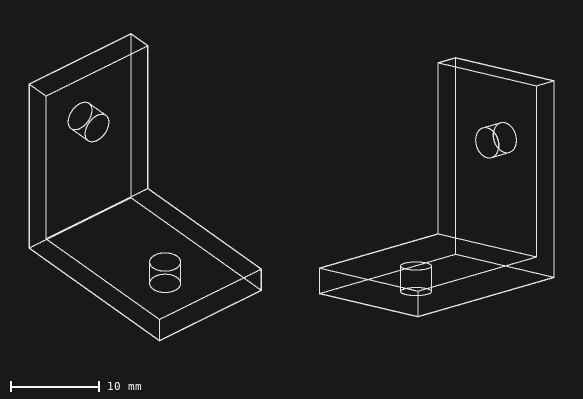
import cadquery as cq

leg_length = 23.0
width = 15.0
thickness = 3.0
hole_diameter = 3.5
hole_distance = 15.0

base_leg = cq.Workplane("XY").box(leg_length, width, thickness, centered=(False, True, False))
upright_leg = cq.Workplane("XY").box(thickness, width, leg_length, centered=(False, True, False))
body = base_leg.union(upright_leg)

base_hole = (
    cq.Workplane("XY")
    .center(hole_distance, 0)
    .circle(hole_diameter / 2)
    .extrude(thickness)
)
upright_hole = (
    cq.Workplane("YZ")
    .center(0, hole_distance)
    .circle(hole_diameter / 2)
    .extrude(thickness)
)

result = body.cut(base_hole).cut(upright_hole)